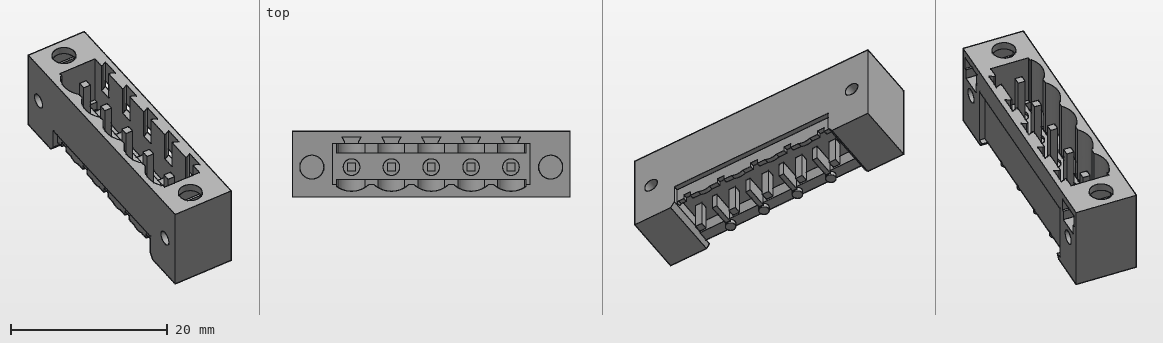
import cadquery as cq

LENGTH = 35.4
DEPTH = 8.43
HEIGHT = 12.05
FRONT = -DEPTH / 2
BACK = DEPTH / 2

PIN_COUNT = 5
PIN_ROW_LENGTH = 20.32
PIN_PITCH = PIN_ROW_LENGTH / (PIN_COUNT - 1)
PIN_XS = [(i - (PIN_COUNT - 1) / 2) * PIN_PITCH for i in range(PIN_COUNT)]
MID_XS = [x + PIN_PITCH / 2 for x in PIN_XS[:-1]]
PIN_Y = -0.4
PIN_WIDTH = 1.0
PIN_TOP = 11.0
PIN_TAIL = 1.45

CAVITY_LENGTH = 25.2
CAVITY_HALF_DEPTH = 2.62
CAVITY_FLOOR = 4.95
SCALLOP_HALF_WIDTH = 2.2
SCALLOP_DEPTH = 0.85
PIN_RECESS_DIAMETER = 2.12
PIN_RECESS_DEPTH = 0.35

TROUGH_LENGTH = 24.2
TROUGH_FLOOR = 3.7
TROUGH_FRONT_EDGE = -2.0
TROUGH_BACK_EDGE = 1.4
HUMP_BASE_WIDTH = 3.4
HUMP_TOP_WIDTH = 2.48
HUMP_SIDE_HEIGHT = 0.53
HUMP_HEIGHT = 1.0

GROOVE_MOUTH_WIDTH = 1.77
GROOVE_BASE_WIDTH = 2.45
GROOVE_DEPTH = 0.8
GROOVE_MOUTH_DEPTH = 0.2
GROOVE_BOTTOM = 7.85

BACK_RECESS_TOP = 8.78
BACK_RECESS_FACE = CAVITY_HALF_DEPTH + GROOVE_DEPTH

FOOT_GAP = 23.35
FOOT_CHAMFER_WIDTH = 0.55
FOOT_CHAMFER_HEIGHT = 0.78
BACK_WALL_BOTTOM = 0.65
HOLLOW_TOP = 2.48
HOLLOW_BACK = 1.95

FRONT_RECESS_DEPTH = 0.65
FRONT_RECESS_TOP = 3.6
FRONT_WALL_THICKNESS = 0.6
FRONT_WALL_FACE = FRONT + FRONT_RECESS_DEPTH
FRONT_WALL_INNER = FRONT_WALL_FACE + FRONT_WALL_THICKNESS
FRONT_WALL_BOTTOM = 1.38
LOBE_HALF_WIDTH = 0.85
LOBE_DROP = 0.2
CORNER_WIDTH = 0.25
PIN_SLOT_TOP = 2.05

POST_DIAMETER = 1.35
POST_Y = 2.7
RIB_FRONT = -1.05
RIB_WIDTH = 0.67
RIB_BOTTOM = 0.3

FIXING_XS = [-15.22, 15.22]
CROSS_HOLE_DIAMETER = 1.9
CROSS_HOLE_Z = HEIGHT / 2
SCREW_HOLE_DIAMETER = 3.05
SCREW_HOLE_DEPTH = 1.05
NUT_SLOT_FRONT = -2.48
NUT_SLOT_WIDTH = 3.6
NUT_SLOT_HEIGHT = 1.8
NUT_LEDGE_WIDTH = 0.3
LOWER_SLOT_WIDTH = NUT_SLOT_WIDTH - 2 * NUT_LEDGE_WIDTH
LOWER_SLOT_HEIGHT = 1.4


def box(x_range, y_range, z_range):
    """Box between the given limits along X, Y and Z."""
    size = [high - low for low, high in (x_range, y_range, z_range)]
    corner = (x_range[0], y_range[0], z_range[0])
    return cq.Workplane("XY").box(*size, centered=False).translate(corner)


def box_across(width, y_range, z_range, x=0.0):
    """Box of the given width along X, centred on x."""
    return box((x - width / 2, x + width / 2), y_range, z_range)


def extrude_along_y(profile, y_range):
    """Extrude a closed XZ profile between two Y positions."""
    start, end = y_range
    return profile.extrude(start - end).translate((0, start, 0))


def scallop(x):
    """Arched relief in the front wall of the cavity, facing one pin."""
    edge = -CAVITY_HALF_DEPTH
    return (
        cq.Workplane("XY", origin=(x, 0, TROUGH_FLOOR))
        .moveTo(-SCALLOP_HALF_WIDTH, edge)
        .threePointArc((0, edge - SCALLOP_DEPTH), (SCALLOP_HALF_WIDTH, edge))
        .lineTo(SCALLOP_HALF_WIDTH, TROUGH_FRONT_EDGE)
        .lineTo(-SCALLOP_HALF_WIDTH, TROUGH_FRONT_EDGE)
        .close()
        .extrude(HEIGHT - TROUGH_FLOOR)
    )


def hump(x, y_range):
    """Rounded ridge across a trough at one pin."""
    side_top = TROUGH_FLOOR + HUMP_SIDE_HEIGHT
    profile = (
        cq.Workplane("XZ")
        .moveTo(x - HUMP_BASE_WIDTH / 2, TROUGH_FLOOR)
        .lineTo(x - HUMP_TOP_WIDTH / 2, side_top)
        .threePointArc((x, TROUGH_FLOOR + HUMP_HEIGHT), (x + HUMP_TOP_WIDTH / 2, side_top))
        .lineTo(x + HUMP_BASE_WIDTH / 2, TROUGH_FLOOR)
        .close()
    )
    return extrude_along_y(profile, y_range)


def plug_cavity():
    """Space for the mating plug, with its troughs, scallops and pin recesses."""
    front_trough = (-CAVITY_HALF_DEPTH, TROUGH_FRONT_EDGE)
    back_trough = (TROUGH_BACK_EDGE, CAVITY_HALF_DEPTH)
    cavity = box_across(
        CAVITY_LENGTH, (-CAVITY_HALF_DEPTH, CAVITY_HALF_DEPTH), (CAVITY_FLOOR, HEIGHT)
    )
    for trough in (front_trough, back_trough):
        cavity = cavity.union(box_across(TROUGH_LENGTH, trough, (TROUGH_FLOOR, CAVITY_FLOOR)))
    within_troughs = box_across(TROUGH_LENGTH, (FRONT, BACK), (TROUGH_FLOOR, HEIGHT))
    for x in PIN_XS:
        cavity = cavity.union(scallop(x).intersect(within_troughs))
    scallop_reach = -CAVITY_HALF_DEPTH - SCALLOP_DEPTH
    for x in PIN_XS:
        cavity = cavity.cut(hump(x, (scallop_reach, TROUGH_FRONT_EDGE)))
        cavity = cavity.cut(hump(x, back_trough))
    pin_recesses = (
        cq.Workplane("XY", origin=(0, 0, CAVITY_FLOOR - PIN_RECESS_DEPTH))
        .pushPoints([(x, PIN_Y) for x in PIN_XS])
        .circle(PIN_RECESS_DIAMETER / 2)
        .extrude(PIN_RECESS_DEPTH)
    )
    return cavity.union(pin_recesses)


def dovetail_groove(x):
    """Keying groove in the back wall, with a straight mouth that flares to a wider base."""
    mouth = CAVITY_HALF_DEPTH
    flare_start = mouth + GROOVE_MOUTH_DEPTH
    base = mouth + GROOVE_DEPTH
    return (
        cq.Workplane("XY", origin=(x, 0, GROOVE_BOTTOM))
        .polyline([
            (-GROOVE_MOUTH_WIDTH / 2, mouth),
            (-GROOVE_MOUTH_WIDTH / 2, flare_start),
            (-GROOVE_BASE_WIDTH / 2, base),
            (GROOVE_BASE_WIDTH / 2, base),
            (GROOVE_MOUTH_WIDTH / 2, flare_start),
            (GROOVE_MOUTH_WIDTH / 2, mouth),
        ])
        .close()
        .extrude(HEIGHT - GROOVE_BOTTOM)
    )


def foot_gap():
    """Space under the walls between the two chamfered feet."""
    half_top = FOOT_GAP / 2
    half_bottom = half_top + FOOT_CHAMFER_WIDTH
    profile = (
        cq.Workplane("XZ")
        .polyline([
            (-half_bottom, 0),
            (-half_top, FOOT_CHAMFER_HEIGHT),
            (half_top, FOOT_CHAMFER_HEIGHT),
            (half_bottom, 0),
        ])
        .close()
    )
    gap = extrude_along_y(profile, (FRONT, BACK))
    back_wall = box_across(
        LENGTH, (HOLLOW_BACK, BACK), (BACK_WALL_BOTTOM, FOOT_CHAMFER_HEIGHT)
    )
    return gap.cut(back_wall)


def front_wall():
    """Recessed front wall with a lobed lower edge and a slot at each pin."""
    half_gap = FOOT_GAP / 2
    lobe_bottom = FRONT_WALL_BOTTOM - LOBE_DROP
    profile = (
        cq.Workplane("XZ")
        .moveTo(-half_gap, HOLLOW_TOP)
        .lineTo(-half_gap, lobe_bottom)
        .lineTo(-half_gap + CORNER_WIDTH, FRONT_WALL_BOTTOM)
    )
    for x in MID_XS:
        profile = profile.lineTo(x - LOBE_HALF_WIDTH, FRONT_WALL_BOTTOM).threePointArc(
            (x, lobe_bottom), (x + LOBE_HALF_WIDTH, FRONT_WALL_BOTTOM)
        )
    profile = (
        profile.lineTo(half_gap - CORNER_WIDTH, FRONT_WALL_BOTTOM)
        .lineTo(half_gap, lobe_bottom)
        .lineTo(half_gap, HOLLOW_TOP)
        .close()
    )
    wall = extrude_along_y(profile, (FRONT_WALL_FACE, FRONT_WALL_INNER))
    for x in PIN_XS:
        wall = wall.cut(
            box_across(PIN_WIDTH, (FRONT_WALL_FACE, FRONT_WALL_INNER), (0, PIN_SLOT_TOP), x)
        )
    return wall


def standoff(x):
    """Round post under the back wall, with a rib running forward from it under the floor."""
    post = (
        cq.Workplane("XY", origin=(x, POST_Y, 0)).circle(POST_DIAMETER / 2).extrude(HOLLOW_TOP)
    )
    rib = box_across(RIB_WIDTH, (RIB_FRONT, POST_Y), (RIB_BOTTOM, HOLLOW_TOP), x)
    return post.union(rib)


def fixing_holes(x):
    """Cross hole and screw hole at one end, over a stepped nut slot open at the back."""
    cross_hole = (
        cq.Workplane("XZ", origin=(x, BACK, CROSS_HOLE_Z))
        .circle(CROSS_HOLE_DIAMETER / 2)
        .extrude(DEPTH)
    )
    slot_top = HEIGHT - SCREW_HOLE_DEPTH
    ledge = slot_top - NUT_SLOT_HEIGHT
    slot_range = (NUT_SLOT_FRONT, BACK)
    screw_hole = (
        cq.Workplane("XY", origin=(x, PIN_Y, slot_top))
        .circle(SCREW_HOLE_DIAMETER / 2)
        .extrude(SCREW_HOLE_DEPTH)
    )
    nut_slot = box_across(NUT_SLOT_WIDTH, slot_range, (ledge, slot_top), x)
    lower_slot = box_across(LOWER_SLOT_WIDTH, slot_range, (ledge - LOWER_SLOT_HEIGHT, ledge), x)
    return cross_hole.union(screw_hole.union(nut_slot).union(lower_slot))


def contact_pin(x):
    """Square contact pin, from its tip in the cavity to its solder tail."""
    return box_across(
        PIN_WIDTH, (PIN_Y - PIN_WIDTH / 2, PIN_Y + PIN_WIDTH / 2), (-PIN_TAIL, PIN_TOP), x
    )


def make_housing(pins):
    """Housing with a square hole through its floor for each pin."""
    body = box_across(LENGTH, (FRONT, BACK), (0, HEIGHT))
    body = body.cut(plug_cavity())
    body = body.cut(
        box_across(CAVITY_LENGTH, (BACK_RECESS_FACE, BACK), (BACK_WALL_BOTTOM, BACK_RECESS_TOP))
    )
    for x in PIN_XS:
        body = body.cut(dovetail_groove(x))
    body = body.cut(foot_gap())
    body = body.cut(box_across(FOOT_GAP, (FRONT, FRONT_WALL_FACE), (0, FRONT_RECESS_TOP)))
    body = body.cut(
        box_across(FOOT_GAP, (FRONT_WALL_FACE, HOLLOW_BACK), (0, HOLLOW_TOP))
    )
    body = body.union(front_wall())
    for x in MID_XS:
        body = body.union(standoff(x))
    for x in FIXING_XS:
        body = body.cut(fixing_holes(x))
    for pin in pins:
        body = body.cut(pin)
    return body.solids()


pins = [contact_pin(x) for x in PIN_XS]
housing = make_housing(pins)

result = cq.Compound.makeCompound([housing.val(), *[pin.val() for pin in pins]])